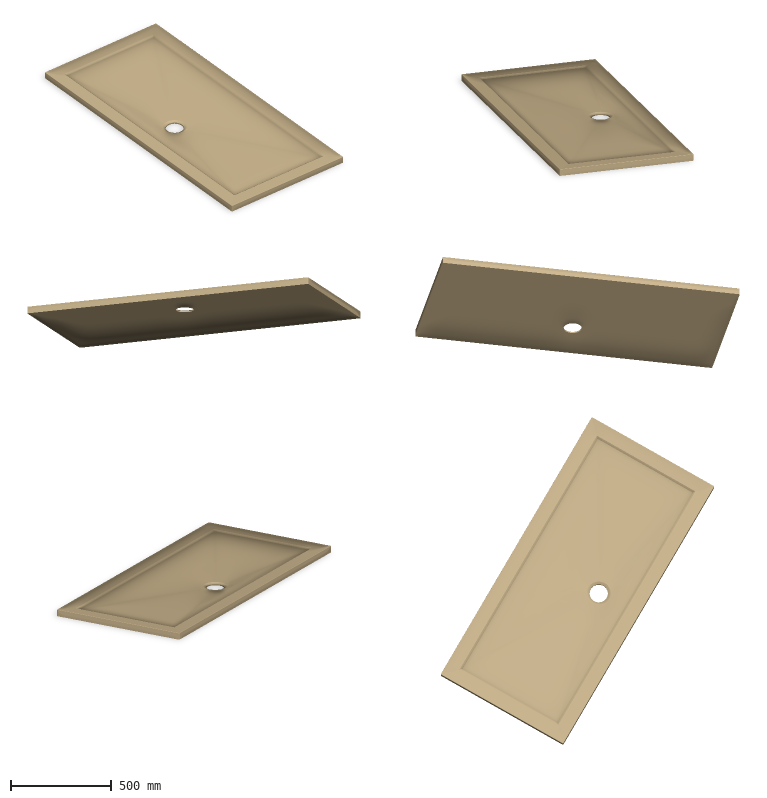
import cadquery as cq
import math

LENGTH = 1500.0
WIDTH = 700.0
HEIGHT = 35.0

CORNER_RADIUS = 3.0
TOP_EDGE_RADIUS = 2.0
LIP_WIDTH = 5.0

BORDER_WIDTH = 69.0
BORDER_DROP = 2.2
WALL_RUN = 10.0
WALL_DROP = 8.0

DRAIN_Y = -122.0
SEAT_RADIUS = 58.0
HOLE_RADIUS = 45.0
FLOOR_FALL = 12.0
SEAT_DROP = 6.0

BACK_CREASE_ANGLE = 27.0
MIDDLE_CREASE_ANGLE = 5.0
FRONT_CREASE_ANGLE = -26.0
MIDDLE_CREASE_Y = 50.0

BORDER_FOOT_Z = HEIGHT - BORDER_DROP
FLOOR_EDGE_Z = BORDER_FOOT_Z - WALL_DROP
SEAT_Z = FLOOR_EDGE_Z - FLOOR_FALL
FLOOR_INSET = BORDER_WIDTH + WALL_RUN


def tapered_recess(inset, z, lower_inset, lower_z):
    """Rectangular frustum between two levels, each inset from the tray sides."""
    return (
        cq.Workplane("XY")
        .workplane(offset=z)
        .rect(LENGTH - 2 * inset, WIDTH - 2 * inset)
        .workplane(offset=lower_z - z)
        .rect(LENGTH - 2 * lower_inset, WIDTH - 2 * lower_inset)
        .loft(ruled=True)
    )


def seat_point(angle):
    """Point on the rim of the drain seat."""
    turn = math.radians(angle)
    return cq.Vector(SEAT_RADIUS * math.cos(turn), DRAIN_Y + SEAT_RADIUS * math.sin(turn), SEAT_Z)


def floor_recess():
    """Solid above the floor, whose ruled panels run from the floor edge to the drain seat."""
    x = LENGTH / 2 - FLOOR_INSET
    y = WIDTH / 2 - FLOOR_INSET
    creases = [
        (x, -y, FRONT_CREASE_ANGLE),
        (x, MIDDLE_CREASE_Y, MIDDLE_CREASE_ANGLE),
        (x, y, BACK_CREASE_ANGLE),
        (-x, y, 180 - BACK_CREASE_ANGLE),
        (-x, MIDDLE_CREASE_Y, 180 - MIDDLE_CREASE_ANGLE),
        (-x, -y, 180 - FRONT_CREASE_ANGLE),
    ]
    faces = []
    outer_edges = []
    seat_arcs = []
    for index, (start_x, start_y, start_angle) in enumerate(creases):
        end_x, end_y, end_angle = creases[(index + 1) % len(creases)]
        if end_angle < start_angle:
            end_angle += 360
        edge = cq.Edge.makeLine(
            cq.Vector(start_x, start_y, FLOOR_EDGE_Z), cq.Vector(end_x, end_y, FLOOR_EDGE_Z)
        )
        arc = cq.Edge.makeThreePointArc(
            seat_point(start_angle), seat_point((start_angle + end_angle) / 2), seat_point(end_angle)
        )
        faces.append(cq.Face.makeRuledSurface(edge, arc))
        outer_edges.append(edge)
        seat_arcs.append(arc)
    faces.append(cq.Face.makeFromWires(cq.Wire.assembleEdges(outer_edges)))
    faces.append(cq.Face.makeFromWires(cq.Wire.assembleEdges(seat_arcs)))
    return cq.Workplane(cq.Solid.makeSolid(cq.Shell.makeShell(faces)).fix())


def drain_cutter():
    """Conical seat running into a through hole."""
    seat = cq.Solid.makeCone(HOLE_RADIUS, SEAT_RADIUS, SEAT_DROP, cq.Vector(0, DRAIN_Y, SEAT_Z - SEAT_DROP))
    hole = cq.Workplane("XY").center(0, DRAIN_Y).circle(HOLE_RADIUS).extrude(HEIGHT)
    return hole.union(cq.Workplane(seat))


tray = cq.Workplane("XY").box(LENGTH, WIDTH, HEIGHT, centered=(True, True, False))
tray = tray.edges("|Z").fillet(CORNER_RADIUS).faces(">Z").edges().fillet(TOP_EDGE_RADIUS)
border = tapered_recess(LIP_WIDTH, HEIGHT, BORDER_WIDTH, BORDER_FOOT_Z)
wall = tapered_recess(BORDER_WIDTH, BORDER_FOOT_Z, FLOOR_INSET, FLOOR_EDGE_Z)

result = tray.cut(border).cut(wall).cut(floor_recess()).cut(drain_cutter())